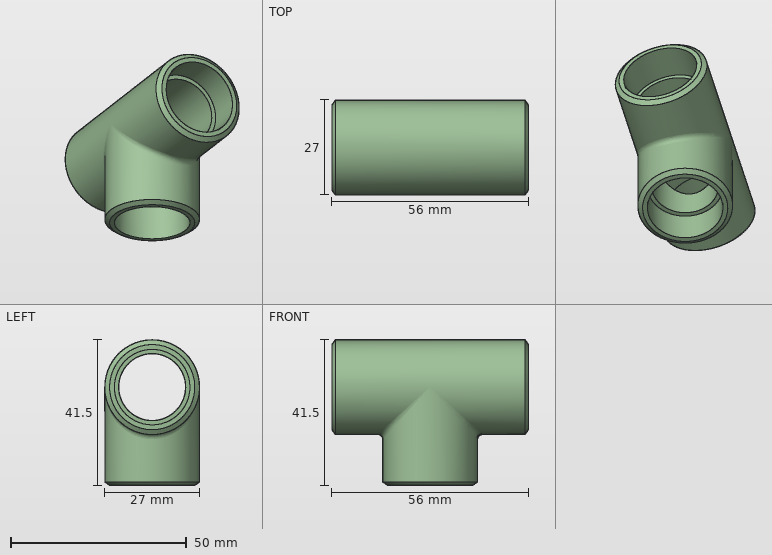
import cadquery as cq

run_length = 56.0
branch_reach = run_length / 2
outer_diameter = 27.0
socket_diameter = 21.5
bore_diameter = 19.0
socket_depth = 10.0
chamfer_length = 1.0

outer_radius = outer_diameter / 2
socket_radius = socket_diameter / 2
bore_radius = bore_diameter / 2
half_wall = (outer_radius - socket_radius) / 2
rim_radius = outer_radius - half_wall
crotch_radius = half_wall

PIPE_DIRECTIONS = [(-1, 0, 0), (1, 0, 0), (0, 0, -1)]


def cylinder(radius, start, end, direction):
    """Cylinder about an axis through the origin, between two distances along it."""
    axis = cq.Vector(*direction)
    solid = cq.Solid.makeCylinder(radius, end - start, axis * start, axis)
    return cq.Workplane(obj=solid)


def tee(radius):
    """Plain solid tee: a full-length run and a branch of the same radius."""
    run_direction = (1, 0, 0)
    branch_direction = (0, 0, -1)
    run = cylinder(radius, -run_length / 2, run_length / 2, run_direction)
    return run.union(cylinder(radius, 0, branch_reach, branch_direction))


def end_chamfer(direction):
    """Ring to remove from the outer edge of one pipe end."""
    axis = cq.Vector(*direction)
    start = branch_reach - chamfer_length
    cone = cq.Solid.makeCone(outer_radius, rim_radius, chamfer_length, axis * start, axis)
    return cylinder(outer_radius, start, branch_reach, direction).cut(cq.Workplane(obj=cone))


def outer_body():
    """Solid tee with a filleted crotch and chamfered ends."""
    body = tee(outer_radius)
    body = body.edges("not %CIRCLE").edges("not %LINE").fillet(crotch_radius)
    for direction in PIPE_DIRECTIONS:
        body = body.cut(end_chamfer(direction))
    return body


def flow_passage():
    """Through bore, branch bore and a wider socket at every end."""
    passage = tee(bore_radius)
    socket_floor = branch_reach - socket_depth
    for direction in PIPE_DIRECTIONS:
        passage = passage.union(cylinder(socket_radius, socket_floor, branch_reach, direction))
    return passage


fitting = outer_body().cut(flow_passage())
result = cq.Workplane(obj=fitting.solids().val())